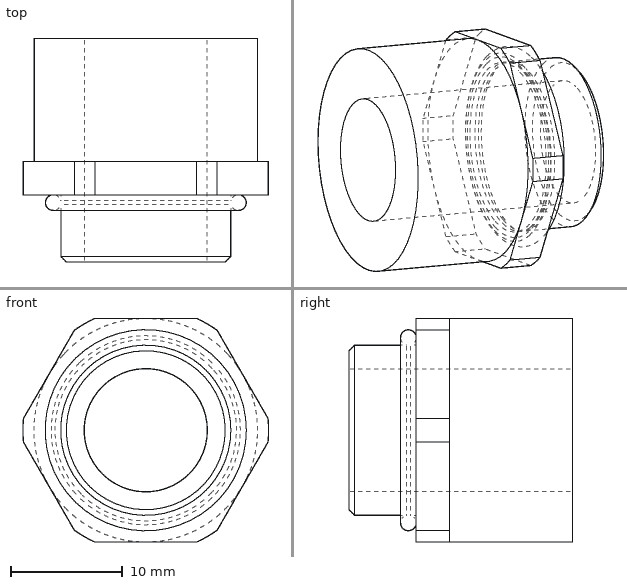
import cadquery as cq
import math

total_length = 20.0
body_diameter = 20.0
body_length = 11.0
collar_length = 3.01
across_flats = 20.0
across_corners = 22.0
neck_diameter = 15.22
neck_chamfer = 0.5
bore_diameter = 11.0
ring_section = 1.4
ring_seat_overlap = 0.02

neck_length = total_length - body_length - collar_length
collar_end = neck_length + collar_length


def cylinder(diameter, start, length):
    """Cylinder along +Y beginning at y = start."""
    plane = cq.Workplane("XZ", origin=(0, start, 0))
    return plane.circle(diameter / 2).extrude(-length)


def hexagon_collar():
    """Hexagon with flats facing +Z and -Z and its corners rounded to a circle."""
    corner_radius = across_flats / 2 / math.cos(math.radians(30))
    corner_angles = [math.radians(60 * i) for i in range(6)]
    corners = [(corner_radius * math.cos(a), corner_radius * math.sin(a)) for a in corner_angles]
    hexagon = (
        cq.Workplane("XZ", origin=(0, neck_length, 0))
        .polyline(corners)
        .close()
        .extrude(-collar_length)
    )
    return hexagon.intersect(cylinder(across_corners, neck_length, collar_length))


def seal_ring():
    """Round-section ring seated on the neck against the collar."""
    section_radius = ring_section / 2
    center_radius = neck_diameter / 2 + section_radius - ring_seat_overlap
    center_y = neck_length - section_radius + ring_seat_overlap
    return (
        cq.Workplane("XY")
        .center(center_radius, center_y)
        .circle(section_radius)
        .revolve(360, (-center_radius, 0), (-center_radius, 1))
    )


neck = cylinder(neck_diameter, 0, neck_length).faces("<Y").chamfer(neck_chamfer)
body = cylinder(body_diameter, collar_end, body_length)
bore = cylinder(bore_diameter, 0, total_length)

result = neck.union(hexagon_collar()).union(body).union(seal_ring()).cut(bore)